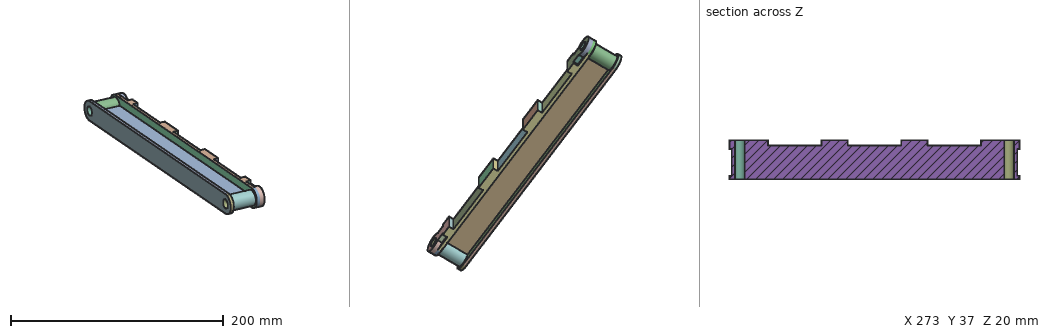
import cadquery as cq

overall_length = 273.0
height = 20.0
end_radius = height / 2
pivot_x = overall_length / 2 - end_radius
tube_diameter = 15.5
bore_diameter = 9.0

plate_thickness = 3.5
plate_gap = 25.0
lug_depth = 5.0
overall_width = 2 * plate_thickness + plate_gap + lug_depth
front_y = -overall_width / 2
front_plate_back_y = front_y + plate_thickness
back_plate_y = front_plate_back_y + plate_gap
lug_y = back_plate_y + plate_thickness

web_thickness = 4.0

inner_lug_start = 25.0
inner_lug_end = 50.0
outer_lug_start = 100.0
outer_lug_end = 110.5
bridge_height = 14.0


def cylinder_y(x, diameter, y_start, length):
    """Cylinder along +Y centred on the pivot height."""
    disc = cq.Workplane("XZ", origin=(x, y_start, 0)).circle(diameter / 2)
    return disc.extrude(-length)


def block(x_start, x_end, y_start, y_length, z_height):
    """Box spanning x_start to x_end, centred on the pivot height."""
    x_length = abs(x_end - x_start)
    x_middle = (x_start + x_end) / 2
    y_middle = y_start + y_length / 2
    return cq.Workplane("XY", origin=(x_middle, y_middle, 0)).box(x_length, y_length, z_height)


def side_plate(y_start):
    """Long plate with full-round ends."""
    outline = cq.Workplane("XZ", origin=(0, y_start, 0)).slot2D(overall_length, height)
    return outline.extrude(-plate_thickness)


def end_features(side):
    """Tube, round boss, bridge and lugs of one end; side is -1 or +1."""
    tube = cylinder_y(side * pivot_x, tube_diameter, front_plate_back_y, plate_gap)
    boss = cylinder_y(side * pivot_x, height, lug_y, lug_depth)
    bridge = block(side * outer_lug_end, side * pivot_x, lug_y, lug_depth, bridge_height)
    outer_lug = block(side * outer_lug_start, side * outer_lug_end, lug_y, lug_depth, height)
    inner_lug = block(side * inner_lug_start, side * inner_lug_end, lug_y, lug_depth, height)
    return tube.union(boss).union(bridge).union(outer_lug).union(inner_lug)


web = block(-pivot_x, pivot_x, front_plate_back_y, plate_gap, web_thickness)
result = side_plate(front_y).union(side_plate(back_plate_y)).union(web)

for end_side in (-1, 1):
    result = result.union(end_features(end_side))

for end_side in (-1, 1):
    result = result.cut(cylinder_y(end_side * pivot_x, bore_diameter, front_y, overall_width))